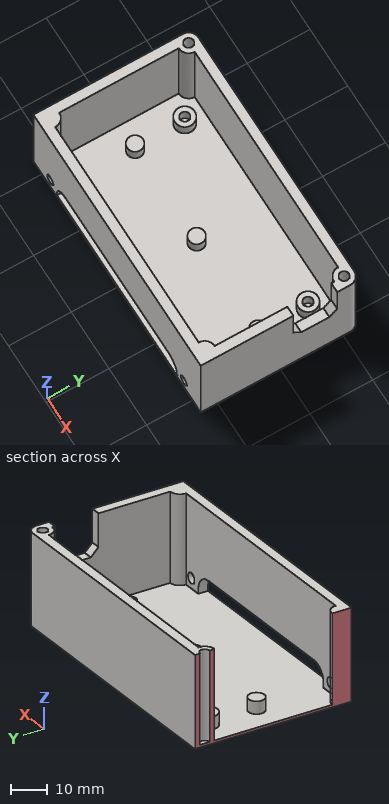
import cadquery as cq

length = 88.9
width = 50.8
height = 29.3
wall = 3.2
floor = 1.0

post_diameter = 6.3
screw_diameter = 3.0

support_height = 4.0
support_x = 32.7
standoff_y = 15.8
standoff_diameter = 6.3
pin_diameter = 5.1

slot_length = 63.7
slot_top = 7.3
slot_radius = 5.0
front_hole_diameter = 3.3
front_hole_x = 35.5
front_hole_z = 4.2

notch_width = 14.0
notch_depth = 13.0
notch_chamfer = 2.5
notch_y = 11.1

inner_x = length / 2 - wall
inner_y = width / 2 - wall
rear_corners = [(-inner_x, inner_y), (inner_x, inner_y)]
front_corners = [(-inner_x, -inner_y), (inner_x, -inner_y)]


def cylinders(points, diameter, bottom, top):
    """Vertical cylinders of one diameter at the given XY points."""
    return (
        cq.Workplane("XY", origin=(0, 0, bottom))
        .pushPoints(points)
        .circle(diameter / 2)
        .extrude(top - bottom)
    )


def make_box():
    """Open-topped box, rounded at the rear, with a post in each corner."""
    outer = cq.Workplane("XY").box(length, width, height, centered=(True, True, False))
    outer = outer.edges("|Z and >Y").fillet(wall)
    cavity = (
        cq.Workplane("XY", origin=(0, 0, floor))
        .rect(2 * inner_x, 2 * inner_y)
        .extrude(height - floor)
    )
    posts = cylinders(rear_corners + front_corners, post_diameter, floor, height)
    return outer.cut(cavity.cut(posts))


def make_supports():
    """Two drilled standoffs near the rear and a middle row of three pins."""
    top = floor + support_height
    standoff_points = [(-support_x, standoff_y), (support_x, standoff_y)]
    pin_points = [(-support_x, 0), (0, 0), (support_x, 0)]
    standoffs = cylinders(standoff_points, standoff_diameter, floor, top)
    standoffs = standoffs.cut(cylinders(standoff_points, screw_diameter, floor, top))
    return standoffs.union(cylinders(pin_points, pin_diameter, floor, top))


def make_front_openings():
    """Slot level with the floor, rounded on top, and a hole at each end of it."""
    slot = (
        cq.Workplane("XY")
        .box(slot_length, wall, slot_top - floor, centered=(True, False, False))
        .edges("|Y and >Z")
        .fillet(slot_radius)
        .translate((0, -width / 2, floor))
    )
    holes = (
        cq.Workplane("XZ", origin=(0, -width / 2, 0))
        .pushPoints([(-front_hole_x, front_hole_z), (front_hole_x, front_hole_z)])
        .circle(front_hole_diameter / 2)
        .extrude(-wall)
    )
    return slot.union(holes)


def make_cable_notch():
    """Notch open at the rim with chamfered lower corners."""
    return (
        cq.Workplane("XY")
        .box(wall, notch_width, notch_depth, centered=(False, True, False))
        .edges("|X and <Z")
        .chamfer(notch_chamfer)
        .translate((inner_x, notch_y, height - notch_depth))
    )


result = (
    make_box()
    .union(make_supports())
    .cut(cylinders(rear_corners, screw_diameter, floor, height))
    .cut(make_front_openings())
    .cut(make_cable_notch())
)